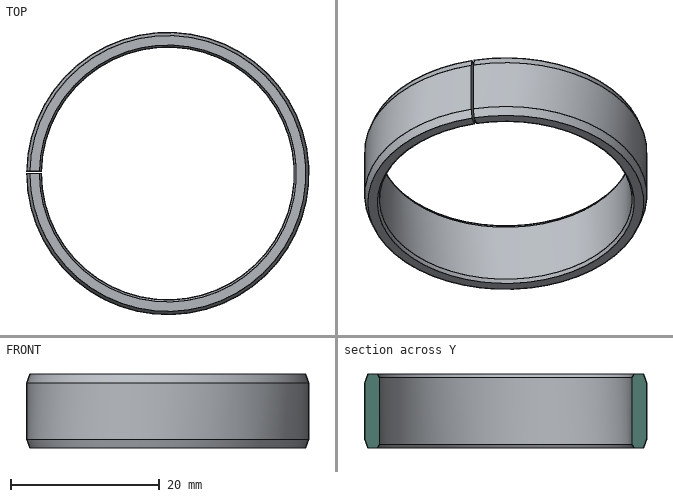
import cadquery as cq
import math

outer_diameter = 38.0
bore_diameter = 34.0
height = 10.0
outer_chamfer_height = 1.2
outer_chamfer_angle = 20.0
inner_chamfer_height = 0.5
inner_chamfer_angle = 30.0
slit_angle = 0.9

full_turn = 360.0
outer_radius = outer_diameter / 2
bore_radius = bore_diameter / 2
outer_chamfer_depth = outer_chamfer_height * math.tan(math.radians(outer_chamfer_angle))
inner_chamfer_depth = inner_chamfer_height * math.tan(math.radians(inner_chamfer_angle))
face_outer_radius = outer_radius - outer_chamfer_depth
face_inner_radius = bore_radius + inner_chamfer_depth


def wall_section():
    """Wall section on the -X side, chamfered inside and out at both ends."""
    return (
        cq.Workplane("XZ")
        .moveTo(-face_inner_radius, 0)
        .lineTo(-face_outer_radius, 0)
        .lineTo(-outer_radius, outer_chamfer_height)
        .lineTo(-outer_radius, height - outer_chamfer_height)
        .lineTo(-face_outer_radius, height)
        .lineTo(-face_inner_radius, height)
        .lineTo(-bore_radius, height - inner_chamfer_height)
        .lineTo(-bore_radius, inner_chamfer_height)
        .close()
    )


def split_ring():
    """Sweep the section counterclockwise about Z from -X, leaving the slit open just on the +Y side."""
    return wall_section().revolve(full_turn - slit_angle, (0, 0, 0), (0, 1, 0))


result = split_ring()